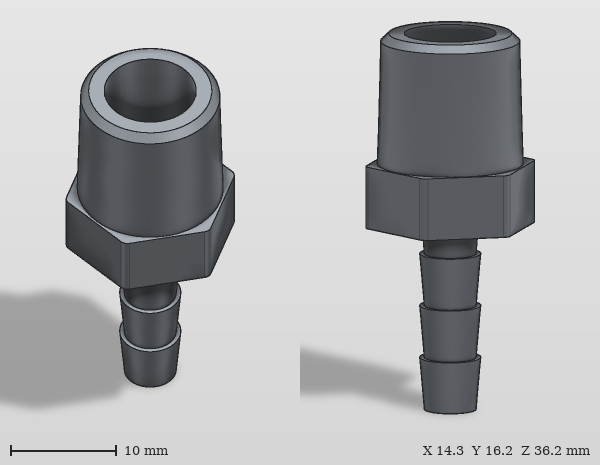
import cadquery as cq
import math

total_height = 36.2
barb_count = 3
barb_pitch = 5.0
hex_bottom = 17.75
hex_top = 23.67

barb_tip_radius = 2.45
barb_crest_radius = 2.9
neck_top_radius = 2.68

across_flats = 14.3
hex_corner_radius = 0.85

pipe_base_radius = 6.9
pipe_top_radius = 6.6
chamfer_height = 0.72
chamfer_top_radius = 5.83

hose_bore_radius = 1.6
pipe_bore_radius = 4.35
pipe_bore_depth = total_height - hex_top


def make_barbed_stem():
    """Revolve the saw-tooth barbs and the tapered neck below the collar."""
    profile = [(0, 0)]
    for index in range(barb_count):
        barb_bottom = index * barb_pitch
        profile.append((barb_tip_radius, barb_bottom))
        profile.append((barb_crest_radius, barb_bottom + barb_pitch))
    profile.append((barb_tip_radius, barb_count * barb_pitch))
    profile.append((neck_top_radius, hex_bottom))
    profile.append((0, hex_bottom))
    return cq.Workplane("XZ").polyline(profile).close().revolve(360, (0, 0), (0, 1))


def make_hex_collar():
    """Extrude the hexagon with its flats facing X and round its upright edges."""
    across_corners = across_flats / math.cos(math.pi / 6)
    return (
        cq.Workplane("XY")
        .workplane(offset=hex_bottom)
        .transformed(rotate=(0, 0, 90))
        .polygon(6, across_corners)
        .extrude(hex_top - hex_bottom)
        .edges("|Z")
        .fillet(hex_corner_radius)
    )


def make_pipe_end():
    """Revolve the tapered pipe end with its chamfered rim."""
    profile = [
        (0, hex_top),
        (pipe_base_radius, hex_top),
        (pipe_top_radius, total_height - chamfer_height),
        (chamfer_top_radius, total_height),
        (0, total_height),
    ]
    return cq.Workplane("XZ").polyline(profile).close().revolve(360, (0, 0), (0, 1))


def make_passage():
    """Narrow bore along the full length, widened inside the pipe end."""
    hose_bore = cq.Workplane("XY").circle(hose_bore_radius).extrude(total_height)
    pipe_bore = (
        cq.Workplane("XY")
        .workplane(offset=total_height - pipe_bore_depth)
        .circle(pipe_bore_radius)
        .extrude(pipe_bore_depth)
    )
    return hose_bore.union(pipe_bore)


body = make_barbed_stem().union(make_hex_collar()).union(make_pipe_end())
result = body.cut(make_passage())